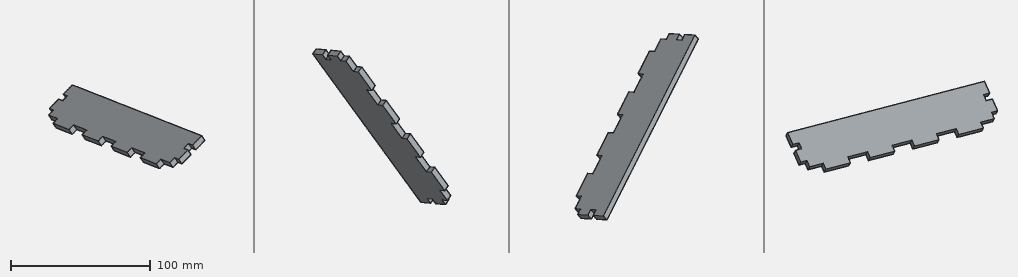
import cadquery as cq

length = 160.0
plate_width = 35.0
thickness = 5.0
tilt = 35.0

joint_depth = thickness
slot_start = 10.0
end_lug_width = 10.0

tab_count = 4
tab_length = 20.0
tab_gap = 16.0

half_length = length / 2
inner_half_length = half_length - joint_depth
rear_y = plate_width / 2
slot_top_y = rear_y - slot_start
slot_bottom_y = slot_top_y - joint_depth
lug_front_y = slot_bottom_y - end_lug_width
tab_root_y = joint_depth - plate_width / 2


def block(x_min, x_max, y_min, y_max):
    """Full-thickness block covering a rectangle of the flat plate."""
    return cq.Workplane("XY").box(x_max - x_min, y_max - y_min, thickness).translate(
        ((x_min + x_max) / 2, (y_min + y_max) / 2, 0)
    )


plate = block(-half_length, half_length, lug_front_y, rear_y)
plate = plate.union(block(-inner_half_length, inner_half_length, tab_root_y, lug_front_y))

tab_pitch = tab_length + tab_gap
first_tab_x = -(tab_count * tab_length + (tab_count - 1) * tab_gap) / 2
for i in range(tab_count):
    tab_x = first_tab_x + i * tab_pitch
    plate = plate.union(block(tab_x, tab_x + tab_length, -plate_width / 2, tab_root_y))

plate = plate.cut(block(-half_length, -inner_half_length, slot_bottom_y, slot_top_y))
plate = plate.cut(block(inner_half_length, half_length, slot_bottom_y, slot_top_y))

result = plate.rotate((0, 0, 0), (1, 0, 0), tilt)